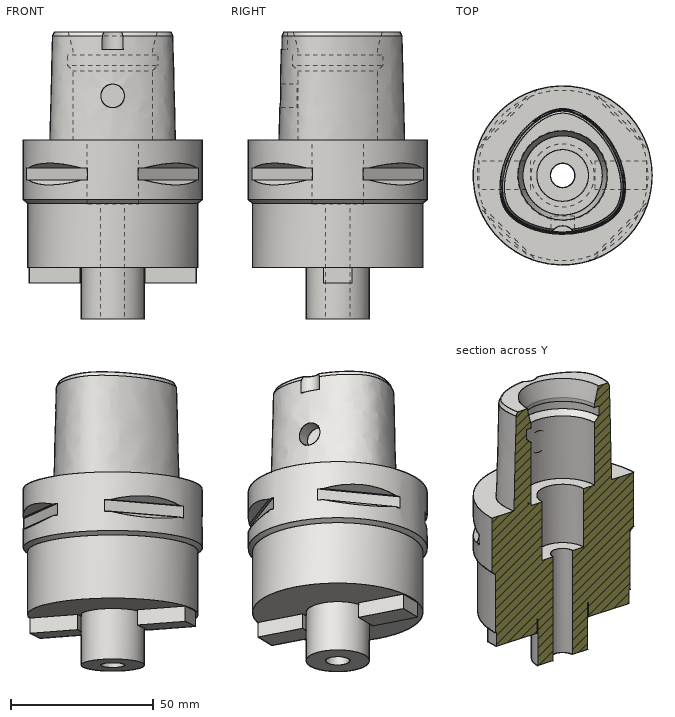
import cadquery as cq
import math

TOTAL_HEIGHT = 101.0
FLANGE_TOP = 63.0
FLANGE_EDGE = 42.0
BODY_BOTTOM = 18.1

FLANGE_RADIUS = 31.5
BODY_RADIUS = 30.0
SPIGOT_RADIUS = 11.1
FLANGE_CHAMFER = FLANGE_RADIUS - BODY_RADIUS
FLANGE_CHAMFER_HEIGHT = 1.3

KEY_WIDTH = 10.0
KEY_INNER = 11.3
KEY_OUTER = 29.4
KEY_HEIGHT = 5.5

LOBE_RADIUS = 22.1
LOBE_RISE = 1.4
TAPER_SLOPE = 1 / 40
LEAD_HEIGHT = 1.4
LEAD_INSET = 0.7
OUTLINE_POINTS = 48

MOUTH_RADIUS = 15.7
BORE_RADIUS = 13.9
MOUTH_DEPTH = 6.7
GROOVE_START = 8.1
GROOVE_RADIUS = 15.9
GROOVE_END = 11.8
CONE_HEIGHT = GROOVE_RADIUS - BORE_RADIUS
BORE_DEPTH = TOTAL_HEIGHT - FLANGE_TOP
SCREW_BORE_RADIUS = 9.1
SCREW_BORE_DEPTH = 60.6
THROUGH_RADIUS = 4.2

NOTCH_RADIUS = 4.4
NOTCH_CENTER = 22.1
NOTCH_DEPTH = 6.3
PIN_HOLE_RADIUS = 4.1
PIN_HOLE_HEIGHT = 78.5
PIN_HOLE_DEPTH = 6.1

SLOT_COUNT = 4
SLOT_HEIGHT = 51.0
SLOT_FLOOR = 27.7
SLOT_WALL_DEPTH = 0.9
SLOT_FLOOR_WIDTH = 4.1
SLOT_MOUTH_WIDTH = 7.7
SLOT_FIRST_ANGLE = 45


def lobed_wire(mean_radius, height):
    """Constant-width three-lobed curve with one lobe toward +Y."""
    points = []
    for i in range(OUTLINE_POINTS):
        angle = 2 * math.pi * i / OUTLINE_POINTS - math.pi / 2
        phase = 3 * (angle - math.pi / 2)
        reach = mean_radius + LOBE_RISE * math.cos(phase)
        slope = -3 * LOBE_RISE * math.sin(phase)
        x = reach * math.cos(angle) - slope * math.sin(angle)
        y = reach * math.sin(angle) + slope * math.cos(angle)
        points.append(cq.Vector(x, y, height))
    edge = cq.Edge.makeSpline(points, periodic=True)
    return cq.Wire.assembleEdges([edge])


def make_shank():
    lead_start = TOTAL_HEIGHT - LEAD_HEIGHT
    lead_radius = LOBE_RADIUS - TAPER_SLOPE * (lead_start - FLANGE_TOP)
    base = lobed_wire(LOBE_RADIUS, FLANGE_TOP)
    shoulder = lobed_wire(lead_radius, lead_start)
    rim = lobed_wire(lead_radius - LEAD_INSET, TOTAL_HEIGHT)
    taper = cq.Solid.makeLoft([base, shoulder], True)
    lead = cq.Solid.makeLoft([shoulder, rim], True)
    return cq.Workplane(taper).union(cq.Workplane(lead))


def make_body():
    profile = [
        (0, 0),
        (SPIGOT_RADIUS, 0),
        (SPIGOT_RADIUS, BODY_BOTTOM),
        (BODY_RADIUS, BODY_BOTTOM),
        (BODY_RADIUS, FLANGE_EDGE - FLANGE_CHAMFER_HEIGHT),
        (BODY_RADIUS + FLANGE_CHAMFER, FLANGE_EDGE),
        (FLANGE_RADIUS, FLANGE_TOP),
        (0, FLANGE_TOP),
    ]
    return cq.Workplane("XZ").polyline(profile).close().revolve(360, (0, 0), (0, 1))


def make_keys():
    length = KEY_OUTER - KEY_INNER
    center = (KEY_OUTER + KEY_INNER) / 2
    return (
        cq.Workplane("XY", origin=(0, 0, BODY_BOTTOM))
        .pushPoints([(-center, 0), (center, 0)])
        .rect(length, KEY_WIDTH)
        .extrude(-KEY_HEIGHT)
    )


def make_bore():
    steps = [
        (0, 0),
        (MOUTH_RADIUS, 0),
        (BORE_RADIUS, MOUTH_DEPTH),
        (BORE_RADIUS, GROOVE_START),
        (GROOVE_RADIUS, GROOVE_START),
        (GROOVE_RADIUS, GROOVE_END),
        (BORE_RADIUS, GROOVE_END + CONE_HEIGHT),
        (BORE_RADIUS, BORE_DEPTH),
        (SCREW_BORE_RADIUS, BORE_DEPTH),
        (SCREW_BORE_RADIUS, SCREW_BORE_DEPTH),
        (THROUGH_RADIUS, SCREW_BORE_DEPTH),
        (THROUGH_RADIUS, TOTAL_HEIGHT),
        (0, TOTAL_HEIGHT),
    ]
    profile = [(radius, TOTAL_HEIGHT - depth) for radius, depth in steps]
    return cq.Workplane("XZ").polyline(profile).close().revolve(360, (0, 0), (0, 1))


def make_notch():
    return (
        cq.Workplane("XY", origin=(0, -NOTCH_CENTER, TOTAL_HEIGHT))
        .circle(NOTCH_RADIUS)
        .extrude(-NOTCH_DEPTH)
    )


def make_pin_hole():
    surface = LOBE_RADIUS - LOBE_RISE - TAPER_SLOPE * (PIN_HOLE_HEIGHT - FLANGE_TOP)
    floor = surface - PIN_HOLE_DEPTH
    return (
        cq.Workplane("XZ", origin=(0, -floor, PIN_HOLE_HEIGHT))
        .circle(PIN_HOLE_RADIUS)
        .extrude(FLANGE_RADIUS - floor)
    )


def make_slot(angle):
    """Tangential slot whose flanks flare outward to the flange surface."""
    flank_start = SLOT_FLOOR + SLOT_WALL_DEPTH
    profile = [
        (SLOT_FLOOR, SLOT_HEIGHT - SLOT_FLOOR_WIDTH / 2),
        (flank_start, SLOT_HEIGHT - SLOT_FLOOR_WIDTH / 2),
        (FLANGE_RADIUS, SLOT_HEIGHT - SLOT_MOUTH_WIDTH / 2),
        (FLANGE_RADIUS, SLOT_HEIGHT + SLOT_MOUTH_WIDTH / 2),
        (flank_start, SLOT_HEIGHT + SLOT_FLOOR_WIDTH / 2),
        (SLOT_FLOOR, SLOT_HEIGHT + SLOT_FLOOR_WIDTH / 2),
    ]
    slot = cq.Workplane("XZ").polyline(profile).close().extrude(FLANGE_RADIUS, both=True)
    return slot.rotate((0, 0, 0), (0, 0, 1), angle)


result = make_body().union(make_shank()).union(make_keys())
result = result.cut(make_bore()).cut(make_notch()).cut(make_pin_hole())
for slot_index in range(SLOT_COUNT):
    slot_angle = SLOT_FIRST_ANGLE + slot_index * 360 / SLOT_COUNT
    result = result.cut(make_slot(slot_angle))